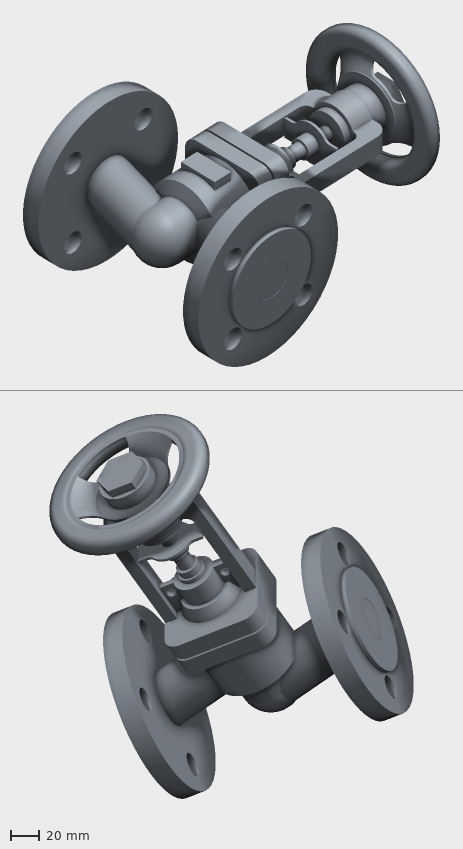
import cadquery as cq
import math


flange_diameter = 140.0
flange_radius = flange_diameter / 2
face_to_face = 180.0
raised_face_radius = 39.0
raised_face_height = 3.5
flange_thickness = 15.3
bolt_circle_radius = 50.0
bolt_hole_radius = 9.0
bolt_count = 4
first_bolt_angle = 45.0
port_radius = 16.0
port_mark_depth = 0.3

pipe_radius = 20.5
pipe_tilt = 15.0
flange_front_x = face_to_face / 2 - raised_face_height
flange_back_x = flange_front_x - flange_thickness
outlet_offset = flange_back_x * math.tan(math.radians(pipe_tilt))
inlet_offset = 20.0
elbow_y = -18.5
elbow_radius = 22.8

body_radius = 33.5
body_bottom_y = 3.3
body_cone_bottom_y = -1.8
body_top_y = 42.2
cover_size = 73.8
cover_corner_radius = 11.7
cover_thickness = 13.5
gasket_thickness = 1.7
gasket_radius = 28.3
bonnet_bottom_y = body_top_y + cover_thickness + gasket_thickness
bonnet_top_y = bonnet_bottom_y + cover_thickness
bonnet_cone_radius = 23.5
bonnet_cone_top_radius = 19.1
bonnet_cone_top_y = 80.5
neck_radius = 15.8
neck_top_y = 97.5

plate_width = 33.3
plate_height = 16.5
plate_center_y = 25.5

stem_radius = 6.0
gland_radius = 10.3
gland_top_y = 101.0
collar_radius = 8.5
lower_collar_top_y = 107.0
upper_collar_bottom_y = 120.2
indicator_bottom_y = 130.1
indicator_thickness = 2.2
indicator_radius = 17.5
indicator_length = 51.0
indicator_end_width = 17.2
indicator_blend_radius = 7.0

yoke_width = 72.2
yoke_opening = 53.8
yoke_depth = 17.0
yoke_top_y = 172.5
yoke_opening_top_y = 153.2
yoke_outer_corner = 11.5
yoke_inner_corner = 7.0
web_thickness = 4.2
web_hole_radius = 3.5
web_hole_x = 21.5
web_hole_y = 89.5
yoke_boss_radius = 21.0
bushing_radius = 17.5
bushing_bottom_y = 146.8

wheel_radius = 62.5
wheel_bottom_y = 186.2
wheel_top_y = 200.5
rim_inner_radius = 43.3
rim_outer_bottom_fillet = 5.3
rim_outer_top_fillet = 6.7
rim_inner_fillet = 6.7
hub_radius = 20.0
dish_bottom_radius = 28.9
dish_step = 0.8
dish_top_y = 197.5
dish_thickness = 2.2
window_count = 3
first_window_angle = 180.0
window_angle = 62.0
window_inner_radius = 30.0
window_inner_corner = 9.5
window_outer_corner = 1.7
nut_across_flats = 32.2
overall_length = 277.5
nut_top_y = overall_length - flange_radius
nut_sides = 6


def disc(radius, bottom_y, top_y):
    """Cylinder about the stem axis between two heights."""
    return cq.Workplane("XZ", origin=(0, bottom_y, 0)).circle(radius).extrude(bottom_y - top_y)


def cone(bottom_radius, top_radius, bottom_y, top_y):
    """Truncated cone about the stem axis."""
    outline = [(0, bottom_y), (bottom_radius, bottom_y), (top_radius, top_y), (0, top_y)]
    return cq.Workplane("XY").polyline(outline).close().revolve(360, (0, 0), (0, 1))


def block(width, depth, bottom_y, top_y):
    """Box centred on the stem axis."""
    return cq.Workplane("XZ", origin=(0, bottom_y, 0)).rect(width, depth).extrude(bottom_y - top_y)


def pipe_flange(side):
    """Bolted flange with a raised sealing face, on the -X (-1) or +X (+1) end."""
    def outward(x):
        return cq.Workplane("YZ", origin=(side * x, 0, 0))

    flange = outward(flange_back_x).circle(flange_radius).extrude(side * flange_thickness)
    raised_face = outward(flange_front_x).circle(raised_face_radius).extrude(side * raised_face_height)
    bolt_holes = (
        outward(flange_back_x)
        .polarArray(bolt_circle_radius, first_bolt_angle, 360, bolt_count)
        .circle(bolt_hole_radius)
        .extrude(side * flange_thickness)
    )
    port_mark = outward(face_to_face / 2).circle(port_radius).extrude(-side * port_mark_depth)
    return flange.cut(bolt_holes).union(raised_face).cut(port_mark)


def pipe(side, height_at_stem, inner_x):
    """Tilted pipe from a flange to inner_x; its axis crosses the stem axis at height_at_stem."""
    slope = math.tan(math.radians(pipe_tilt))
    start_x = side * (flange_back_x + flange_thickness / 2)

    def axis_point(x):
        return cq.Vector(x, height_at_stem - slope * x, 0)

    start = axis_point(start_x)
    run = axis_point(inner_x) - start
    return cq.Workplane(cq.Solid.makeCylinder(pipe_radius, run.Length, start, run))


def valve_body():
    """Round elbow and throat opening into the valve chamber, with a blank name plate."""
    elbow = cq.Workplane("XY").sphere(elbow_radius).translate((0, elbow_y, 0))
    body = elbow.union(disc(elbow_radius, elbow_y, body_bottom_y))
    body = body.union(cone(elbow_radius, body_radius, body_cone_bottom_y, body_bottom_y))
    body = body.union(disc(body_radius, body_bottom_y, body_top_y))
    name_plate = (
        cq.Workplane("XY")
        .center(0, plate_center_y)
        .rect(plate_width, plate_height)
        .extrude(cover_size / 2)
    )
    return body.union(name_plate)


def cover_flange(bottom_y):
    """Square flange with rounded corners."""
    flange = block(cover_size, cover_size, bottom_y, bottom_y + cover_thickness)
    return flange.edges("|Y").fillet(cover_corner_radius)


def bonnet():
    """Pair of square flanges around a gasket, topped by a cone and the gland neck."""
    part = cover_flange(body_top_y).union(cover_flange(bonnet_bottom_y))
    part = part.union(disc(gasket_radius, body_top_y, bonnet_top_y))
    part = part.union(cone(bonnet_cone_radius, bonnet_cone_top_radius, bonnet_top_y, bonnet_cone_top_y))
    return part.union(disc(neck_radius, bonnet_top_y, neck_top_y))


def stem():
    """Stem from the neck up to the wheel, with its gland and collars."""
    part = disc(stem_radius, neck_top_y, wheel_bottom_y)
    part = part.union(disc(gland_radius, neck_top_y, gland_top_y))
    part = part.union(disc(collar_radius, gland_top_y, lower_collar_top_y))
    return part.union(disc(collar_radius, upper_collar_bottom_y, indicator_bottom_y))


def indicator():
    """Travel indicator: a round plate with two ears that blend into it."""
    top_y = indicator_bottom_y + indicator_thickness
    ears = block(indicator_length, indicator_end_width, indicator_bottom_y, top_y)
    plate = ears.union(disc(indicator_radius, indicator_bottom_y, top_y))
    return plate.edges("|Y").edges("not (<X or >X)").fillet(indicator_blend_radius)


def upright(width, depth, bottom_y, top_y, corner):
    """Block with its two top corners rounded across the yoke."""
    return block(width, depth, bottom_y, top_y).faces(">Y").edges("|Z").fillet(corner)


def yoke():
    """Arch that carries the wheel boss, stiffened at its foot by a thin drilled web."""
    frame = upright(yoke_width, yoke_depth, bonnet_top_y, yoke_top_y, yoke_outer_corner)
    frame = frame.cut(
        upright(yoke_opening, yoke_depth, bonnet_top_y, yoke_opening_top_y, yoke_inner_corner)
    )
    web_holes = (
        cq.Workplane("XY")
        .pushPoints([(-web_hole_x, web_hole_y), (web_hole_x, web_hole_y)])
        .circle(web_hole_radius)
        .extrude(web_thickness, both=True)
    )
    web = block(yoke_opening, web_thickness, bonnet_top_y, neck_top_y).cut(web_holes)
    frame = frame.union(web)
    frame = frame.union(disc(yoke_boss_radius, yoke_opening_top_y, yoke_top_y))
    return frame.union(disc(bushing_radius, bushing_bottom_y, yoke_opening_top_y))


def wheel_rim():
    """Ring with generously rounded edges on both faces."""
    ring = disc(wheel_radius, wheel_bottom_y, wheel_top_y)
    ring = ring.cut(disc(rim_inner_radius, wheel_bottom_y, wheel_top_y))
    ring = ring.edges(cq.selectors.RadiusNthSelector(0)).fillet(rim_inner_fillet)
    ring = ring.faces("<Y").edges(cq.selectors.RadiusNthSelector(-1)).fillet(rim_outer_bottom_fillet)
    return ring.faces(">Y").edges(cq.selectors.RadiusNthSelector(-1)).fillet(rim_outer_top_fillet)


def wheel_windows():
    """Ring sectors with rounded corners that leave the spokes between them."""
    half_angle = math.radians(window_angle / 2)

    def polar(radius, angle):
        return (radius * math.cos(angle), radius * math.sin(angle))

    sector = (
        cq.Workplane("XZ", origin=(0, wheel_bottom_y, 0))
        .moveTo(*polar(window_inner_radius, -half_angle))
        .threePointArc(polar(window_inner_radius, 0), polar(window_inner_radius, half_angle))
        .lineTo(*polar(rim_inner_radius, half_angle))
        .threePointArc(polar(rim_inner_radius, 0), polar(rim_inner_radius, -half_angle))
        .close()
        .extrude(wheel_bottom_y - wheel_top_y)
    )
    sector = sector.edges("|Y").edges("<X").fillet(window_inner_corner)
    sector = sector.edges("|Y").edges(">X").fillet(window_outer_corner)
    windows = cq.Workplane("XY")
    for index in range(window_count):
        angle = first_window_angle + index * 360 / window_count
        windows = windows.union(sector.rotate((0, 0, 0), (0, 1, 0), angle))
    return windows


def hand_wheel():
    """Dished three-spoke wheel with its hub and hexagon nut."""
    rim_center_radius = (rim_inner_radius + wheel_radius) / 2
    dish_outline = [
        (0, wheel_bottom_y),
        (dish_bottom_radius, wheel_bottom_y),
        (dish_bottom_radius, wheel_bottom_y + dish_step),
        (rim_inner_radius, dish_top_y),
        (rim_center_radius, dish_top_y),
        (rim_center_radius, dish_top_y + dish_thickness),
        (rim_inner_radius, dish_top_y + dish_thickness),
        (dish_bottom_radius, wheel_bottom_y + dish_step + dish_thickness),
        (0, wheel_bottom_y + dish_step + dish_thickness),
    ]
    dish = cq.Workplane("XY").polyline(dish_outline).close().revolve(360, (0, 0), (0, 1))
    wheel = dish.cut(wheel_windows()).union(wheel_rim())
    wheel = wheel.union(disc(hub_radius, yoke_top_y, wheel_top_y))
    nut = (
        cq.Workplane("XZ", origin=(0, wheel_top_y, 0))
        .polygon(nut_sides, nut_across_flats / math.cos(math.pi / nut_sides))
        .extrude(wheel_top_y - nut_top_y)
    )
    return wheel.union(nut)


result = valve_body()
for side in (-1, 1):
    result = result.union(pipe_flange(side))
result = result.union(pipe(-1, -inlet_offset, 0)).union(pipe(1, outlet_offset, elbow_radius / 2))
for feature in (bonnet(), stem(), indicator(), yoke(), hand_wheel()):
    result = result.union(feature)